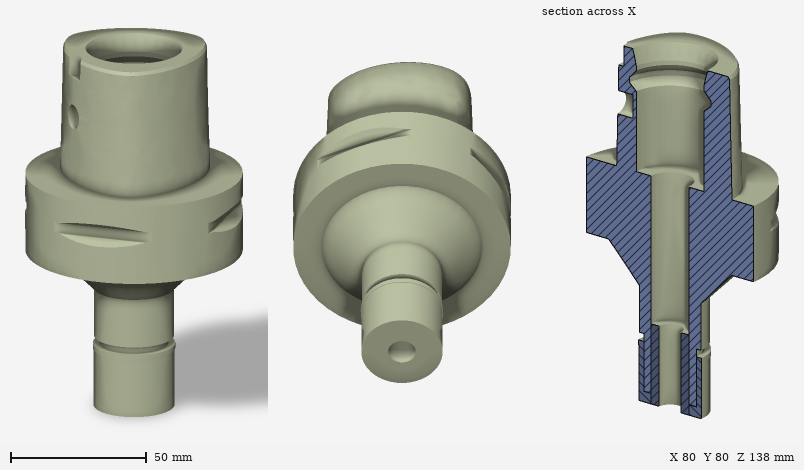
import cadquery as cq
import math

TOTAL_HEIGHT = 138.0
FLANGE_TOP = 90.0
FLANGE_BOTTOM = 60.0
CONE_BOTTOM = 45.4
NECK_BOTTOM = 26.9
NUT_TOP = 24.0

FLANGE_RADIUS = 40.0
NECK_RADIUS = 14.8
NOSE_RADIUS = 12.7
CONE_TOP_RADIUS = NECK_RADIUS + (FLANGE_BOTTOM - CONE_BOTTOM)

SHANK_BASE_WIDTH = 55.2
SHANK_BASE_RADIUS = SHANK_BASE_WIDTH / 2
SHANK_TAPER = 1 / 40
LOBE_RADIUS_SPREAD = 4.0
LOBE_HEIGHT = LOBE_RADIUS_SPREAD / 2
SHANK_CHAMFER_HEIGHT = 1.2
SHANK_CHAMFER_WIDTH = 0.7
SHANK_OUTLINE_POINTS = 36

MOUTH_RADIUS = 17.8
BORE_RADIUS = 16.0
CLAMP_GROOVE_RADIUS = 19.3
MOUTH_TAPER_DEPTH = 6.6
GROOVE_LIP_DEPTH = 8.4
GROOVE_WALL_TOP_DEPTH = GROOVE_LIP_DEPTH + (CLAMP_GROOVE_RADIUS - BORE_RADIUS)
GROOVE_WALL_BOTTOM_DEPTH = 13.8
GROOVE_END_DEPTH = 16.5
BORE_DEPTH = TOTAL_HEIGHT - FLANGE_TOP

KEYWAY_RADIUS = 6.1
KEYWAY_AXIS_Y = -28.3
KEYWAY_DEPTH = 8.0
SIDE_HOLE_RADIUS = 4.5
SIDE_HOLE_Z = 115.1
SIDE_HOLE_FLOOR_Y = -18.0

SLOT_COUNT = 4
SLOT_CENTRE_Z = 78.0
SLOT_FLOOR_DISTANCE = 35.3
SLOT_FLARE_DISTANCE = 36.5
SLOT_FLOOR_HEIGHT = 4.1
SLOT_MOUTH_HEIGHT = 8.5

NUT_COLLAR_RADIUS = 15.2
NUT_COLLAR_BOTTOM = 22.0
NUT_BODY_DIAMETER = 30.0
NUT_FLOOR_THICKNESS = 4.1
COLLET_RADIUS = 9.0
COLLET_TOP = 31.7
COLLET_BORE_RADIUS = 5.1


def shank_wire(mean_radius, z):
    """Closed three-lobed curve of constant width, with one lobe toward +Y."""
    points = []
    for i in range(SHANK_OUTLINE_POINTS):
        angle = 2 * math.pi * i / SHANK_OUTLINE_POINTS - math.pi / 2
        lobe_angle = 3 * (angle - math.pi / 2)
        outward = mean_radius + LOBE_HEIGHT * math.cos(lobe_angle)
        sideways = -3 * LOBE_HEIGHT * math.sin(lobe_angle)
        x = outward * math.cos(angle) - sideways * math.sin(angle)
        y = outward * math.sin(angle) + sideways * math.cos(angle)
        points.append(cq.Vector(x, y, z))
    return cq.Wire.assembleEdges([cq.Edge.makeSpline(points, periodic=True)])


def make_shank():
    chamfer_z = TOTAL_HEIGHT - SHANK_CHAMFER_HEIGHT
    chamfer_radius = SHANK_BASE_RADIUS - SHANK_TAPER * (chamfer_z - FLANGE_TOP)
    base = shank_wire(SHANK_BASE_RADIUS, FLANGE_TOP)
    shoulder = shank_wire(chamfer_radius, chamfer_z)
    top = shank_wire(chamfer_radius - SHANK_CHAMFER_WIDTH, TOTAL_HEIGHT)
    return cq.Workplane(cq.Solid.makeLoft([base, shoulder, top], True))


def make_turned_body():
    profile = [
        (0, FLANGE_TOP),
        (FLANGE_RADIUS, FLANGE_TOP),
        (FLANGE_RADIUS, FLANGE_BOTTOM),
        (CONE_TOP_RADIUS, FLANGE_BOTTOM),
        (NECK_RADIUS, CONE_BOTTOM),
        (NECK_RADIUS, NECK_BOTTOM),
        (NOSE_RADIUS, NECK_BOTTOM),
        (NOSE_RADIUS, NUT_FLOOR_THICKNESS),
        (0, NUT_FLOOR_THICKNESS),
    ]
    return cq.Workplane("XZ").polyline(profile).close().revolve(360, (0, 0), (0, 1))


def shank_bore():
    profile = [
        (0, TOTAL_HEIGHT),
        (MOUTH_RADIUS, TOTAL_HEIGHT),
        (BORE_RADIUS, TOTAL_HEIGHT - MOUTH_TAPER_DEPTH),
        (BORE_RADIUS, TOTAL_HEIGHT - GROOVE_LIP_DEPTH),
        (CLAMP_GROOVE_RADIUS, TOTAL_HEIGHT - GROOVE_WALL_TOP_DEPTH),
        (CLAMP_GROOVE_RADIUS, TOTAL_HEIGHT - GROOVE_WALL_BOTTOM_DEPTH),
        (BORE_RADIUS, TOTAL_HEIGHT - GROOVE_END_DEPTH),
        (BORE_RADIUS, TOTAL_HEIGHT - BORE_DEPTH),
        (0, TOTAL_HEIGHT - BORE_DEPTH),
    ]
    return cq.Workplane("XZ").polyline(profile).close().revolve(360, (0, 0), (0, 1))


def collet_bore():
    """Straight hole from the nose up to the shank bore; the collet sits in its lower end."""
    return cq.Workplane("XY").circle(COLLET_RADIUS).extrude(FLANGE_TOP)


def keyway():
    return (
        cq.Workplane("XY", origin=(0, KEYWAY_AXIS_Y, TOTAL_HEIGHT - KEYWAY_DEPTH))
        .circle(KEYWAY_RADIUS)
        .extrude(KEYWAY_DEPTH)
    )


def side_hole():
    """Blind hole along Y with a flat floor, starting outside the shank."""
    return (
        cq.Workplane("XZ", origin=(0, SIDE_HOLE_FLOOR_Y, SIDE_HOLE_Z))
        .circle(SIDE_HOLE_RADIUS)
        .extrude(FLANGE_RADIUS + SIDE_HOLE_FLOOR_Y)
    )


def gripper_slot(angle):
    """Straight slot with a flat floor across the flange and a mouth that flares above and below."""
    floor_half = SLOT_FLOOR_HEIGHT / 2
    mouth_half = SLOT_MOUTH_HEIGHT / 2
    section = [
        (SLOT_FLOOR_DISTANCE, SLOT_CENTRE_Z - floor_half),
        (SLOT_FLARE_DISTANCE, SLOT_CENTRE_Z - floor_half),
        (FLANGE_RADIUS, SLOT_CENTRE_Z - mouth_half),
        (FLANGE_RADIUS, SLOT_CENTRE_Z + mouth_half),
        (SLOT_FLARE_DISTANCE, SLOT_CENTRE_Z + floor_half),
        (SLOT_FLOOR_DISTANCE, SLOT_CENTRE_Z + floor_half),
    ]
    slot = cq.Workplane("XZ").polyline(section).close().extrude(FLANGE_RADIUS, both=True)
    return slot.rotate((0, 0, 0), (0, 0, 1), angle)


def make_holder():
    holder = make_turned_body().union(make_shank())
    holder = holder.cut(shank_bore()).cut(collet_bore())
    holder = holder.cut(keyway()).cut(side_hole())
    for i in range(SLOT_COUNT):
        holder = holder.cut(gripper_slot((i + 0.5) * 360 / SLOT_COUNT))
    return holder


def make_nut():
    body = cq.Workplane("XY").circle(NUT_BODY_DIAMETER / 2).extrude(NUT_COLLAR_BOTTOM)
    collar = (
        cq.Workplane("XY", origin=(0, 0, NUT_COLLAR_BOTTOM))
        .circle(NUT_COLLAR_RADIUS)
        .extrude(NUT_TOP - NUT_COLLAR_BOTTOM)
    )
    nose_seat = (
        cq.Workplane("XY", origin=(0, 0, NUT_FLOOR_THICKNESS))
        .circle(NOSE_RADIUS)
        .extrude(NUT_TOP - NUT_FLOOR_THICKNESS)
    )
    collet_hole = cq.Workplane("XY").circle(COLLET_RADIUS).extrude(NUT_FLOOR_THICKNESS)
    return body.union(collar).cut(nose_seat).cut(collet_hole)


def make_collet():
    return cq.Workplane("XY").circle(COLLET_RADIUS).circle(COLLET_BORE_RADIUS).extrude(COLLET_TOP)


holder = make_holder()
nut = make_nut()
collet = make_collet()

result = cq.Compound.makeCompound([holder.val(), nut.val(), collet.val()])